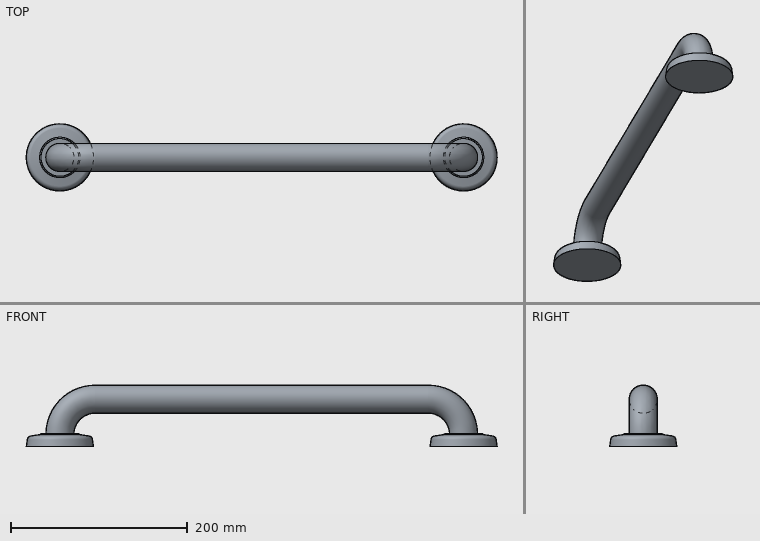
import cadquery as cq

length = 533.5
height = 70.0
flange_diameter = 76.5

tube_diameter = 32.0
bend_radius = 40.0

rim_height = 8.0
rim_draft = 1.0
shoulder_radius = 33.0
shoulder_height = 12.5
collar_outer_radius = 23.0
collar_inner_radius = 21.5
collar_base_height = 14.0
collar_height = 15.0

flange_radius = flange_diameter / 2
flange_offset = length / 2 - flange_radius
bar_height = height - tube_diameter / 2
bend_start_height = bar_height - bend_radius
straight_half_length = flange_offset - bend_radius


def make_flange(x):
    """Turned flange with a drafted rim, rounded shoulder, sloping face and raised collar."""
    rim_top_radius = flange_radius - rim_draft
    profile = (
        cq.Workplane("XZ")
        .lineTo(flange_radius, 0)
        .lineTo(rim_top_radius, rim_height)
        .tangentArcPoint((shoulder_radius, shoulder_height), relative=False)
        .lineTo(collar_outer_radius, collar_base_height)
        .lineTo(collar_inner_radius, collar_height)
        .lineTo(0, collar_height)
        .close()
    )
    return profile.revolve(360, (0, 0, 0), (0, 1, 0)).translate((x, 0, 0))


def make_tube():
    """Round bar bent down at both ends to the flange bases."""
    path = (
        cq.Workplane("XZ")
        .moveTo(-flange_offset, 0)
        .lineTo(-flange_offset, bend_start_height)
        .tangentArcPoint((-straight_half_length, bar_height), relative=False)
        .lineTo(straight_half_length, bar_height)
        .tangentArcPoint((flange_offset, bend_start_height), relative=False)
        .lineTo(flange_offset, 0)
    )
    section = cq.Workplane("XY").center(-flange_offset, 0).circle(tube_diameter / 2)
    return section.sweep(path)


result = make_tube()
for flange_x in (-flange_offset, flange_offset):
    result = result.union(make_flange(flange_x))